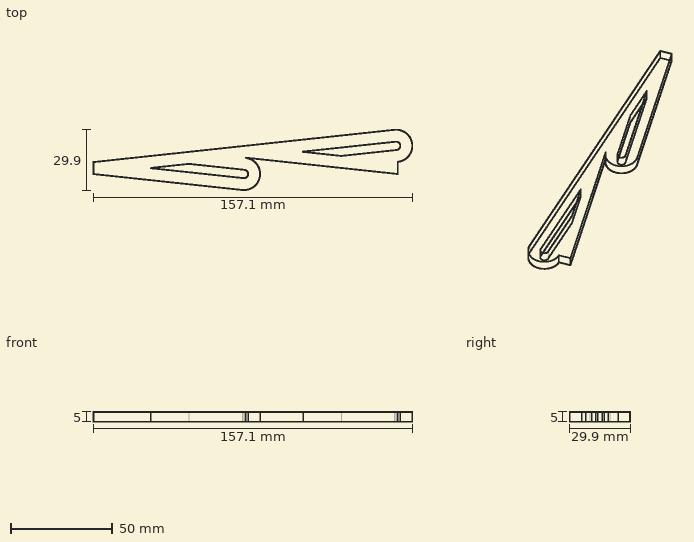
import cadquery as cq
import math

thickness = 5.0
barb_length = 75.0
strip_width = 6.0
slot_width = 4.0

slot_radius = slot_width / 2
hook_radius = slot_radius + strip_width
tilt = math.asin(hook_radius / barb_length)
rise = barb_length * math.tan(tilt)
half_end = strip_width / 2
hook_end = (barb_length, half_end + rise - strip_width)
hook_center = (
    hook_end[0] - hook_radius * math.sin(tilt),
    hook_end[1] - hook_radius * math.cos(tilt),
)


def hook_point(radius, degrees):
    """Point around the hook center, with the angle measured from the hook's own axis."""
    angle = math.radians(degrees) - tilt
    return (
        hook_center[0] + radius * math.cos(angle),
        hook_center[1] + radius * math.sin(angle),
    )


def hook_upper_tangent(radius):
    return hook_point(radius, 90)


def hook_lower_tangent(radius):
    return hook_point(radius, -90)


def barb_body():
    """Wedge that widens from a square left end, with a round hook at its lower right."""
    return (
        cq.Workplane("XY")
        .moveTo(0, -half_end)
        .lineTo(*hook_lower_tangent(hook_radius))
        .threePointArc(hook_point(hook_radius, 0), hook_upper_tangent(hook_radius))
        .lineTo(barb_length, half_end + rise)
        .lineTo(0, half_end)
        .close()
        .extrude(thickness)
    )


def barb_slot():
    """Through slot, concentric with the hook, tapering to a point on the barb's centerline."""
    strip_offset = strip_width / math.cos(tilt)
    tip_x = (strip_offset - half_end) / math.tan(tilt)
    shoulder_dx = slot_width / (2 * math.sin(tilt))
    shoulder = (tip_x + shoulder_dx, shoulder_dx * math.tan(tilt))
    return (
        cq.Workplane("XY")
        .moveTo(tip_x, 0)
        .lineTo(*hook_lower_tangent(slot_radius))
        .threePointArc(hook_point(slot_radius, 0), hook_upper_tangent(slot_radius))
        .lineTo(*shoulder)
        .close()
        .extrude(thickness)
    )


lower_barb = barb_body().cut(barb_slot())

upper_barb = lower_barb.mirror("XZ").translate((barb_length, rise, 0))

result = lower_barb.union(upper_barb).clean()